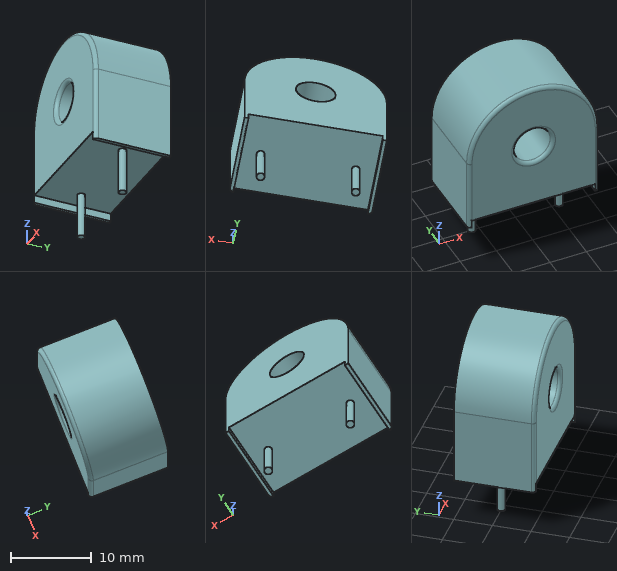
import cadquery as cq


WIDTH = 18.0
DEPTH = 10.5
HEIGHT = 24.05

CROWN_RADIUS = WIDTH / 2
WALL_BOTTOM_DROP = 10.05
WALL_OVERHANG = 1.05
EDGE_FILLET = 0.5
WALL_THICKNESS = EDGE_FILLET

HOLE_RADIUS = 2.5

PIN_DIAMETER = 1.0
PIN_SPACING = 12.02

FRONT_Y = -DEPTH / 2
WALL_BOTTOM_Z = -WALL_BOTTOM_DROP
UNDERSIDE_Z = WALL_BOTTOM_Z + WALL_OVERHANG
PIN_TIP_Z = CROWN_RADIUS - HEIGHT


def make_case():
    """Round-topped block with its front outer edge rounded down both sides."""
    case = (
        cq.Workplane("XZ")
        .moveTo(-CROWN_RADIUS, WALL_BOTTOM_Z)
        .lineTo(-CROWN_RADIUS, 0)
        .threePointArc((0, CROWN_RADIUS), (CROWN_RADIUS, 0))
        .lineTo(CROWN_RADIUS, WALL_BOTTOM_Z)
        .close()
        .extrude(DEPTH / 2, both=True)
    )
    bottom_front_edge = cq.selectors.NearestToPointSelector((0, FRONT_Y, WALL_BOTTOM_Z))
    return case.faces("<Y").edges(cq.selectors.InverseSelector(bottom_front_edge)).fillet(EDGE_FILLET)


def cut_underside(case):
    """Open a channel along Y under the body, leaving the two side walls hanging."""
    channel = cq.Workplane("XY").box(
        WIDTH - 2 * WALL_THICKNESS, DEPTH, WALL_OVERHANG, centered=(True, True, False)
    )
    return case.cut(channel.translate((0, 0, WALL_BOTTOM_Z)))


def cut_hole(case):
    """Bore the through hole and round its front mouth."""
    bore = cq.Workplane("XZ").circle(HOLE_RADIUS).extrude(DEPTH, both=True)
    smallest_circle = cq.selectors.RadiusNthSelector(0)
    return case.cut(bore).faces("<Y").edges("%CIRCLE").edges(smallest_circle).fillet(EDGE_FILLET)


def make_pins():
    """Two round pins reaching down from the body underside."""
    return (
        cq.Workplane("XY", origin=(0, 0, PIN_TIP_Z))
        .rarray(PIN_SPACING, 0.25, 2, 1)
        .circle(PIN_DIAMETER / 2)
        .extrude(UNDERSIDE_Z - PIN_TIP_Z)
    )


result = cut_hole(cut_underside(make_case())).union(make_pins())